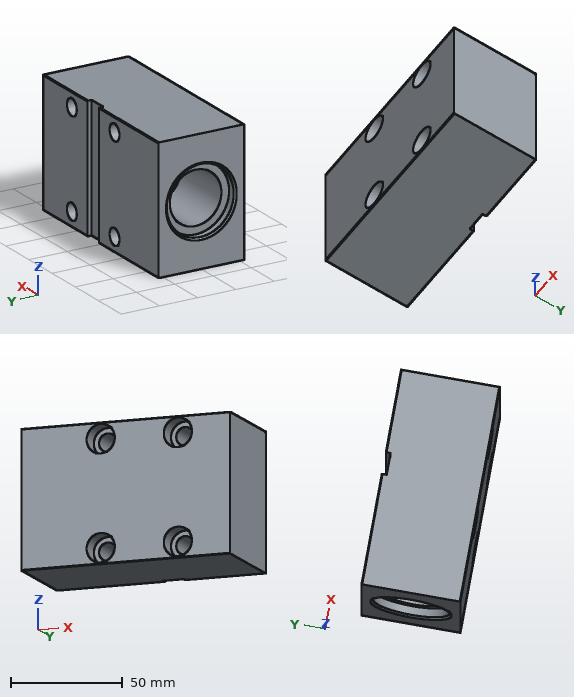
import cadquery as cq

LENGTH = 100.0
WIDTH = 45.0
HEIGHT = 65.0
EDGE_CHAMFER = 0.3

MOUTH_DIAMETER = 37.0
SEAT_DIAMETER = 35.0
SEAT_DEPTH = 5.0
BORE_DIAMETER = 27.0
BORE_DEPTH = 40.0
INNER_DIAMETER = 25.0
INNER_DEPTH = 80.0
MOUTH_CHAMFER = (MOUTH_DIAMETER - SEAT_DIAMETER) / 2

BOLT_DIAMETER = 8.5
BOLT_HEAD_DIAMETER = 13.5
BOLT_HEAD_DEPTH = 9.0
FIRST_BOLT_X = 38.0
BOLT_SPACING_X = 37.0
BOLT_SPACING_Z = 50.0

SLOT_START_X = 51.5
SLOT_WIDTH = 10.0
SLOT_DEPTH = 2.2


def make_block():
    """Rectangular block with its four long edges chamfered."""
    block = cq.Workplane("XY").box(LENGTH, WIDTH, HEIGHT, centered=(False, True, True))
    return block.edges("|X").chamfer(EDGE_CHAMFER)


def make_port():
    """Stepped bore as a half profile turned about the X axis."""
    return (
        cq.Workplane("XY")
        .moveTo(0, 0)
        .lineTo(0, MOUTH_DIAMETER / 2)
        .lineTo(MOUTH_CHAMFER, SEAT_DIAMETER / 2)
        .lineTo(SEAT_DEPTH, SEAT_DIAMETER / 2)
        .lineTo(SEAT_DEPTH, BORE_DIAMETER / 2)
        .lineTo(BORE_DEPTH, BORE_DIAMETER / 2)
        .lineTo(BORE_DEPTH, INNER_DIAMETER / 2)
        .lineTo(INNER_DEPTH, INNER_DIAMETER / 2)
        .lineTo(INNER_DEPTH, 0)
        .close()
        .revolve(360, (0, 0, 0), (1, 0, 0))
    )


def drill_bolt_holes(body):
    """Four through holes, counterbored from the -Y face."""
    pattern_centre = (FIRST_BOLT_X + BOLT_SPACING_X / 2, -WIDTH / 2, 0)
    return (
        body.copyWorkplane(cq.Workplane("XZ", origin=pattern_centre))
        .rarray(BOLT_SPACING_X, BOLT_SPACING_Z, 2, 2)
        .cboreHole(BOLT_DIAMETER, BOLT_HEAD_DIAMETER, BOLT_HEAD_DEPTH)
    )


def make_slot():
    """Cutter for the key slot, running the full height of the +Y face."""
    return (
        cq.Workplane("XY")
        .box(SLOT_WIDTH, SLOT_DEPTH, HEIGHT, centered=(False, False, True))
        .translate((SLOT_START_X, WIDTH / 2 - SLOT_DEPTH, 0))
    )


result = drill_bolt_holes(make_block().cut(make_port())).cut(make_slot())